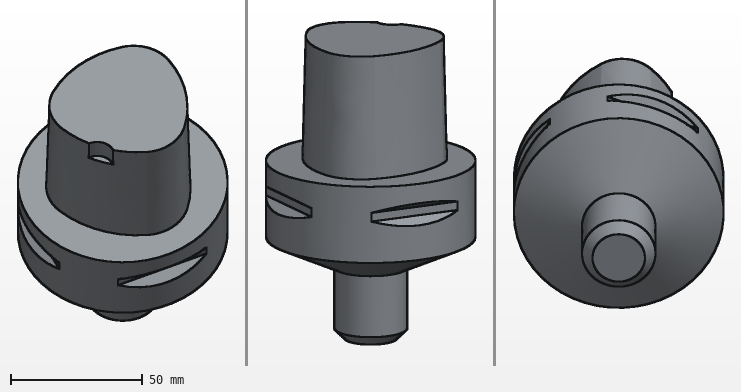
import cadquery as cq
import math

pin_chamfer = 4.0
cone_bottom = 28.0
flange_bottom = 40.0
flange_top = 70.0
total_height = 118.0

flange_radius = 40.0
pin_radius = 14.0

lobe_count = 3
lobe_radius = 17.3
lobe_center_distance = 12.1
lobe_half_angle = 35.5
first_lobe_angle = 90.0
lobe_pitch = 360.0 / lobe_count
taper_ratio = 1 / 20
shank_draft = math.degrees(math.atan(taper_ratio / 2))

groove_count = 4
first_groove_angle = 45.0
groove_floor_distance = 35.4
groove_floor_width = 3.4
groove_wall_angle = 30.0
groove_height = 58.0

notch_radius = 6.5
notch_depth = 8.3
notch_back_distance = 22.0


def polar(distance, angle):
    """Point at a distance from the axis, at an angle in degrees from +X."""
    return (
        distance * math.cos(math.radians(angle)),
        distance * math.sin(math.radians(angle)),
    )


def point_on_lobe(lobe_angle, normal_angle):
    """Point of one lobe arc whose outward normal has the given angle."""
    center_x, center_y = polar(lobe_center_distance, lobe_angle)
    offset_x, offset_y = polar(lobe_radius, normal_angle)
    return (center_x + offset_x, center_y + offset_y)


def flank_middle_distance():
    """Distance from the axis to the middle of a flank arc tangent to both neighbouring lobes."""
    half_pitch = math.radians(lobe_pitch / 2)
    flank_half_angle = half_pitch - math.radians(lobe_half_angle)
    radius_difference = lobe_center_distance * math.sin(half_pitch) / math.sin(flank_half_angle)
    flank_center_offset = (
        radius_difference * math.cos(flank_half_angle) - lobe_center_distance * math.cos(half_pitch)
    )
    return lobe_radius + radius_difference - flank_center_offset


def make_body():
    """Pin, cone and flange, turned about Z."""
    profile = [
        (0, 0),
        (pin_radius - pin_chamfer, 0),
        (pin_radius, pin_chamfer),
        (pin_radius, cone_bottom),
        (flange_radius, flange_bottom),
        (flange_radius, flange_top),
        (0, flange_top),
    ]
    return cq.Workplane("XZ").polyline(profile).close().revolve(360, (0, 0, 0), (0, 1, 0))


def make_shank():
    """Three-lobed shank, narrowing upwards from the flange."""
    flank_distance = flank_middle_distance()
    start = point_on_lobe(first_lobe_angle, first_lobe_angle - lobe_half_angle)
    outline = cq.Workplane("XY", origin=(0, 0, flange_top)).moveTo(*start)
    for index in range(lobe_count):
        lobe_angle = first_lobe_angle + index * lobe_pitch
        next_lobe_angle = lobe_angle + lobe_pitch
        outline = outline.threePointArc(
            point_on_lobe(lobe_angle, lobe_angle),
            point_on_lobe(lobe_angle, lobe_angle + lobe_half_angle),
        )
        outline = outline.threePointArc(
            polar(flank_distance, lobe_angle + lobe_pitch / 2),
            point_on_lobe(next_lobe_angle, next_lobe_angle - lobe_half_angle),
        )
    return outline.close().extrude(total_height - flange_top, taper=shank_draft)


def make_groove(angle):
    """Cutter for one gripper groove whose floor faces the given angle."""
    rim_width = groove_floor_width + 2 * (flange_radius - groove_floor_distance) * math.tan(
        math.radians(groove_wall_angle)
    )
    section = [
        (groove_floor_distance, groove_height - groove_floor_width / 2),
        (flange_radius, groove_height - rim_width / 2),
        (flange_radius, groove_height + rim_width / 2),
        (groove_floor_distance, groove_height + groove_floor_width / 2),
    ]
    cutter = cq.Workplane("XZ").polyline(section).close().extrude(flange_radius, both=True)
    return cutter.rotate((0, 0, 0), (0, 0, 1), angle)


def make_notch():
    """Cutter for the notch, a vertical cylinder outside the -Y flank."""
    return (
        cq.Workplane("XY", origin=(0, -notch_back_distance - notch_radius, total_height - notch_depth))
        .circle(notch_radius)
        .extrude(notch_depth)
    )


result = make_body().union(make_shank())
for groove_index in range(groove_count):
    result = result.cut(make_groove(first_groove_angle + groove_index * 360.0 / groove_count))
result = result.cut(make_notch())